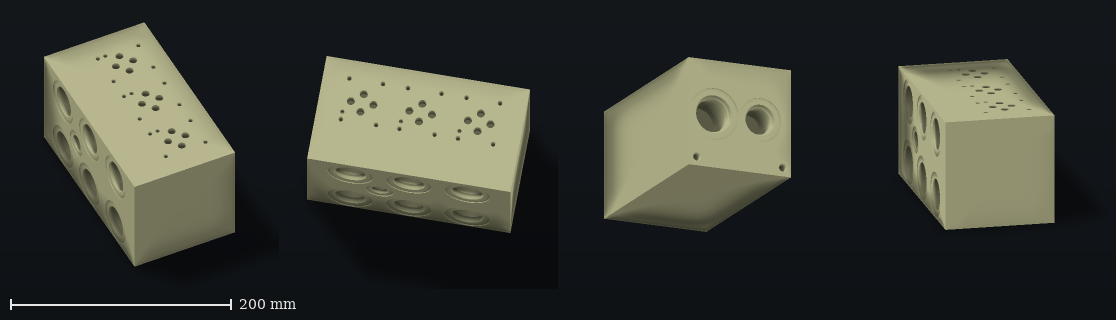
import cadquery as cq
import math

LENGTH = 187.3
SIDE = 101.5
FRONT_Y = -SIDE / 2
TOP_Z = SIDE / 2
LEFT_X = -LENGTH / 2

SMALL_PORT = (25.1, 15.5, 14.2, 2.5, 12.7, 16.9)
MEDIUM_PORT = (41.4, 29.2, 27.2, 3.4, 24.7, 30.0)
LARGE_PORT = (48.9, 35.5, 33.5, 3.4, 31.1, 37.5)
SPOTFACE_DEPTH = 0.7

STATION_PITCH = 54.0
STATIONS = [-STATION_PITCH, 0, STATION_PITCH]
WORK_PORT_Z = 28.5
GAUGE_PORT_X = -STATION_PITCH / 2

TANK_PORT_Y = 25.5
SUPPLY_PORT_Y = -20.5

VALVE_CENTRE_Y = 11.2
VALVE_PORT_SPACING_X = 20.8
VALVE_PORT_SPACING_Y = 17.5
VALVE_PORT_DIAMETER = 7.5
VALVE_PORT_DEPTH = 8.5
REAR_SCREW_SPACING = 31.0
FRONT_SCREW_SPACING = 32.5
REAR_SCREW_Y = 32.8
FRONT_SCREW_Y = -7.7
PIN_TO_SCREW = 7.5
PIN_HOLE_Y = FRONT_SCREW_Y + PIN_TO_SCREW
PIN_HOLE_DIAMETER = 4.0
PIN_HOLE_DEPTH = 5.6

VALVE_SCREW_HOLE = (5.0, 3.7, 13.1)
END_SCREW_HOLE = (8.0, 6.4, 22.5)
END_SCREW_OFFSET = 42.7
DRILL_TIP_HALF_ANGLE = math.radians(59)

FROM_FRONT = cq.Vector(0, 1, 0)
FROM_TOP = cq.Vector(0, 0, -1)
FROM_LEFT = cq.Vector(1, 0, 0)


def cylinder(point, direction, diameter, depth):
    return cq.Solid.makeCylinder(diameter / 2, depth, point, direction)


def cone(point, direction, start_diameter, end_diameter, depth):
    return cq.Solid.makeCone(start_diameter / 2, end_diameter / 2, depth, point, direction)


def port_cavity(point, direction, sizes):
    spotface, mouth, throat, taper_depth, bore, bore_depth = sizes
    seat = point + direction * SPOTFACE_DEPTH
    shoulder = seat + direction * taper_depth
    lead_in = (throat - bore) / 2
    return [
        cylinder(point, direction, spotface, SPOTFACE_DEPTH),
        cone(seat, direction, mouth, throat, taper_depth),
        cone(shoulder, direction, throat, bore, lead_in),
        cylinder(point, direction, bore, bore_depth),
    ]


def tapped_hole(point, direction, sizes):
    mouth, bore, depth = sizes
    chamfer = (mouth - bore) / 2
    tip_depth = bore / 2 / math.tan(DRILL_TIP_HALF_ANGLE)
    return [
        cone(point, direction, mouth, bore, chamfer),
        cylinder(point, direction, bore, depth),
        cone(point + direction * depth, direction, bore, 0, tip_depth),
    ]


def front_ports():
    cavities = port_cavity(cq.Vector(GAUGE_PORT_X, FRONT_Y, 0), FROM_FRONT, SMALL_PORT)
    for x in STATIONS:
        for z in (-WORK_PORT_Z, WORK_PORT_Z):
            cavities += port_cavity(cq.Vector(x, FRONT_Y, z), FROM_FRONT, MEDIUM_PORT)
    return cavities


def end_face_holes():
    cavities = port_cavity(cq.Vector(LEFT_X, TANK_PORT_Y, 0), FROM_LEFT, LARGE_PORT)
    cavities += port_cavity(cq.Vector(LEFT_X, SUPPLY_PORT_Y, 0), FROM_LEFT, MEDIUM_PORT)
    for y in (-END_SCREW_OFFSET, END_SCREW_OFFSET):
        cavities += tapped_hole(cq.Vector(LEFT_X, y, -END_SCREW_OFFSET), FROM_LEFT, END_SCREW_HOLE)
    return cavities


def valve_pattern(station_x):
    cavities = []
    half_x = VALVE_PORT_SPACING_X / 2
    half_y = VALVE_PORT_SPACING_Y / 2
    for dx, dy in ((half_x, 0), (-half_x, 0), (0, half_y), (0, -half_y)):
        point = cq.Vector(station_x + dx, VALVE_CENTRE_Y + dy, TOP_Z)
        cavities.append(cylinder(point, FROM_TOP, VALVE_PORT_DIAMETER, VALVE_PORT_DEPTH))
    for spacing, y in ((REAR_SCREW_SPACING, REAR_SCREW_Y), (FRONT_SCREW_SPACING, FRONT_SCREW_Y)):
        for side in (-1, 1):
            point = cq.Vector(station_x + side * spacing / 2, y, TOP_Z)
            cavities += tapped_hole(point, FROM_TOP, VALVE_SCREW_HOLE)
    pin_point = cq.Vector(station_x - FRONT_SCREW_SPACING / 2, PIN_HOLE_Y, TOP_Z)
    cavities.append(cylinder(pin_point, FROM_TOP, PIN_HOLE_DIAMETER, PIN_HOLE_DEPTH))
    return cavities


all_cavities = front_ports() + end_face_holes()
for station in STATIONS:
    all_cavities += valve_pattern(station)

result = cq.Workplane("XY").box(LENGTH, SIDE, SIDE)
for cavity in all_cavities:
    result = result.cut(cq.Workplane(obj=cavity))